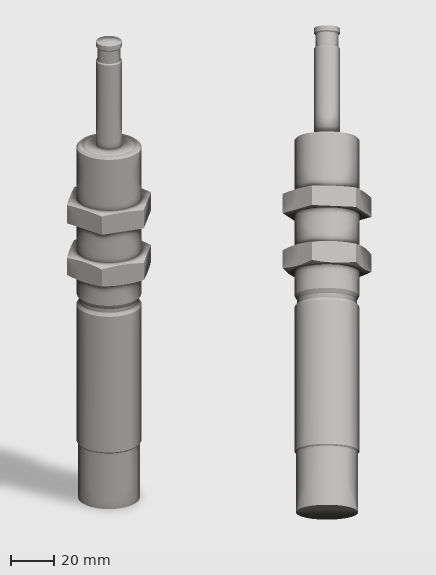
import cadquery as cq
import math

total_height = 231.0

barrel_radius = 30.0 / 2
tail_radius = 28.9 / 2
tail_length = 28.2
tail_chamfer_height = 0.7
barrel_top = 177.5
barrel_top_radius = 28.5 / 2
barrel_chamfer = barrel_radius - barrel_top_radius

groove_radius = 27.7 / 2
groove_bottom = 97.5
groove_floor_bottom = 99.0
groove_floor_top = 101.0
groove_top = 103.0

boss_base_radius = 24.0 / 2
boss_top_radius = 22.6 / 2
boss_height = 0.5

rod_radius = 12.0 / 2
neck_radius = 10.9 / 2
neck_chamfer = rod_radius - neck_radius
neck_bottom = 221.0
neck_top = 227.2
dome_height = 0.8
dome_radius = (rod_radius**2 + dome_height**2) / (2 * dome_height)

nut_width = 36.0
nut_corner_diameter = nut_width / math.cos(math.radians(30))
nut_chamfer_radius = 35.5 / 2
upper_nut_bottom = 141.3
upper_nut_height = 9.7
upper_nut_top_chamfer = 0.5
upper_nut_bottom_chamfer = 0
lower_nut_bottom = 114.3
lower_nut_height = 10.5
lower_nut_chamfer = 1.0


def make_damper():
    """Barrel and piston rod, turned about Z from one half profile."""
    boss_top = barrel_top + boss_height
    rim_height = total_height - dome_height
    profile = [
        (0, 0),
        (tail_radius, 0),
        (tail_radius, tail_length),
        (barrel_radius, tail_length + tail_chamfer_height),
        (barrel_radius, groove_bottom),
        (groove_radius, groove_floor_bottom),
        (groove_radius, groove_floor_top),
        (barrel_radius, groove_top),
        (barrel_radius, barrel_top - barrel_chamfer),
        (barrel_top_radius, barrel_top),
        (boss_base_radius, barrel_top),
        (boss_top_radius, boss_top),
        (rod_radius, boss_top),
        (rod_radius, neck_bottom - neck_chamfer),
        (neck_radius, neck_bottom),
        (neck_radius, neck_top),
        (rod_radius, neck_top + neck_chamfer),
        (rod_radius, rim_height),
    ]
    half_dome_angle = math.asin(rod_radius / dome_radius) / 2
    dome_middle = (
        dome_radius * math.sin(half_dome_angle),
        total_height - dome_radius * (1 - math.cos(half_dome_angle)),
    )
    outline = cq.Workplane("XZ").polyline(profile).threePointArc(dome_middle, (0, total_height)).close()
    return outline.revolve(360, (0, 0), (0, 1))


def make_nut(bottom, height, top_chamfer, bottom_chamfer):
    """Hexagon nut with corners on the Y axis, bored to fit the barrel."""
    corner_radius = nut_corner_diameter / 2
    hexagon = (
        cq.Workplane("XY")
        .polygon(6, nut_corner_diameter)
        .extrude(height)
        .rotate((0, 0, 0), (0, 0, 1), 90)
    )
    envelope_profile = [
        (0, 0),
        (nut_chamfer_radius, 0),
        (corner_radius, bottom_chamfer),
        (corner_radius, height - top_chamfer),
        (nut_chamfer_radius, height),
        (0, height),
    ]
    envelope = cq.Workplane("XZ").polyline(envelope_profile).close().revolve(360, (0, 0), (0, 1))
    bore = cq.Workplane("XY").circle(barrel_radius).extrude(height)
    return hexagon.intersect(envelope).cut(bore).translate((0, 0, bottom))


damper = make_damper()
nut_sizes = [
    (upper_nut_bottom, upper_nut_height, upper_nut_top_chamfer, upper_nut_bottom_chamfer),
    (lower_nut_bottom, lower_nut_height, lower_nut_chamfer, lower_nut_chamfer),
]
nuts = [make_nut(*sizes).val() for sizes in nut_sizes]

result = cq.Compound.makeCompound([damper.val(), *nuts])